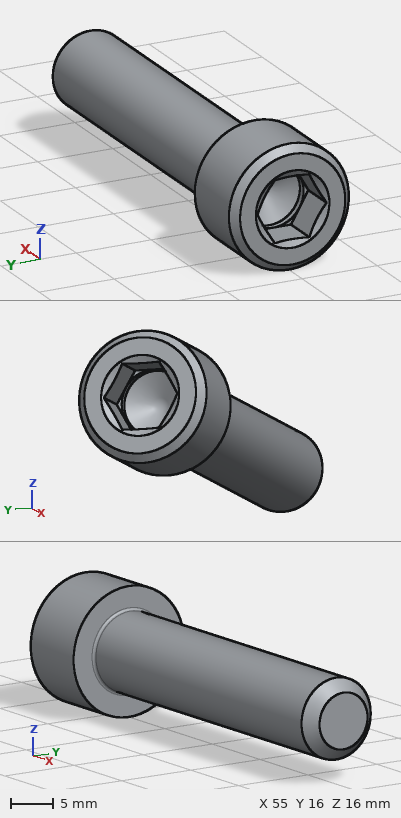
import cadquery as cq
import math

total_length = 55.0
head_diameter = 16.0
head_length = 10.0
head_chamfer = 1.0
shank_diameter = 10.0
tip_chamfer = 1.55
underhead_fillet = 0.35

hex_across_flats = 8.0
hex_depth = 5.0
pilot_depth = 6.0
socket_rim_diameter = 9.8
pilot_point_angle = 120.0
socket_rim_angle = 120.0

hex_across_corners = hex_across_flats / math.cos(math.radians(30))


def cylinder(diameter, start, length):
    return cq.Workplane("YZ").workplane(offset=start).circle(diameter / 2).extrude(length)


def cone(base_diameter, start, half_angle):
    """Cone with its base at X = start and its point toward +X."""
    radius = base_diameter / 2
    height = radius / math.tan(math.radians(half_angle))
    return cq.Workplane(cq.Solid.makeCone(
        radius, 0, height, cq.Vector(start, 0, 0), cq.Vector(1, 0, 0)
    ))


def make_head():
    return cylinder(head_diameter, 0, head_length).faces("<X").chamfer(head_chamfer)


def make_shank():
    shank = cylinder(shank_diameter, head_length, total_length - head_length)
    return shank.faces(">X").chamfer(tip_chamfer)


def make_socket():
    hexagon = cq.Workplane("YZ").polygon(6, hex_across_corners).extrude(hex_depth)
    pilot_hole = cylinder(hex_across_flats, 0, pilot_depth)
    pilot_point = cone(hex_across_flats, pilot_depth, pilot_point_angle / 2)
    rim_chamfer = cone(socket_rim_diameter, 0, socket_rim_angle / 2)
    return hexagon.union(pilot_hole).union(pilot_point).union(rim_chamfer)


def make_underhead_fillet(screw):
    on_underside = cq.Vector(head_length, 0, (head_diameter + shank_diameter) / 4)
    underside = screw.faces(cq.selectors.NearestToPointSelector(on_underside.toTuple()))
    return underside.edges(cq.selectors.RadiusNthSelector(0)).fillet(underhead_fillet)


screw = make_underhead_fillet(make_head().union(make_shank()))
result = screw.cut(make_socket())